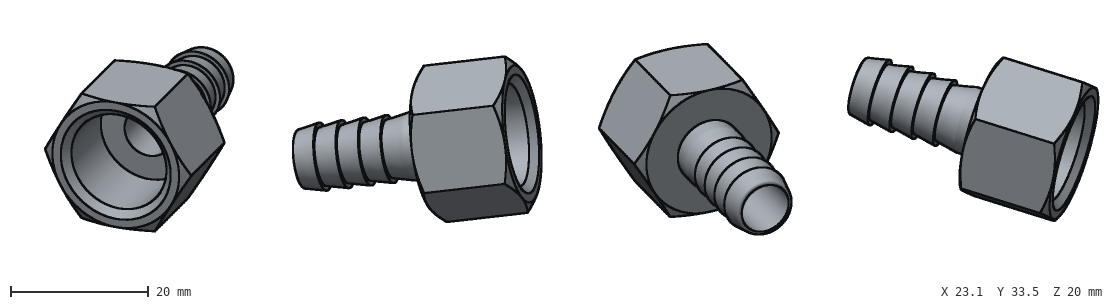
import cadquery as cq
import math

total_length = 33.5
across_flats = 20.0
nut_length = 14.0
corner_chamfer_angle = 30.0

barb_diameter = 9.98
barb_root_diameter = 8.58
barb_count = 5
barb_pitch = 3.4
tip_fillet = 0.4

bore_diameter = 7.5
socket_diameter = 15.0
socket_mouth_diameter = 17.35
socket_depth = 12.0
mouth_chamfer_depth = 1.17

across_corners = across_flats / math.cos(math.radians(30))
flat_radius = across_flats / 2
corner_radius = across_corners / 2
chamfer_length = (corner_radius - flat_radius) * math.tan(math.radians(corner_chamfer_angle))
front = -total_length / 2
nut_back = front + nut_length
tip = total_length / 2


def revolve_about_y(points):
    """Revolve a closed (radius, y) outline around the Y axis."""
    profile = cq.Workplane("XY").polyline(points).close()
    return profile.revolve(360, (0, 0, 0), (0, 1, 0))


def make_nut():
    """Hexagon with flats facing +Z and -Z and conically trimmed corners."""
    hexagon = (
        cq.Workplane("XZ", origin=(0, nut_back, 0))
        .polygon(6, across_corners)
        .extrude(nut_length)
    )
    corner_trim = revolve_about_y([
        (0, front),
        (flat_radius, front),
        (corner_radius, front + chamfer_length),
        (corner_radius, nut_back - chamfer_length),
        (flat_radius, nut_back),
        (0, nut_back),
    ])
    return hexagon.intersect(corner_trim)


def make_barbed_stem():
    """Plain collar followed by barbs that taper toward the rounded tip."""
    barb_radius = barb_diameter / 2
    root_radius = barb_root_diameter / 2
    outline = [(0, front), (barb_radius, front)]
    for barb in range(barb_count):
        barb_end = tip - (barb_count - 1 - barb) * barb_pitch
        outline.append((barb_radius, barb_end - barb_pitch))
        outline.append((root_radius, barb_end))
    outline.append((0, tip))
    return revolve_about_y(outline).faces(">Y").edges().fillet(tip_fillet)


def make_passage():
    """Through bore, flat-bottomed socket and conical socket mouth."""
    bore_radius = bore_diameter / 2
    socket_radius = socket_diameter / 2
    socket_floor = front + socket_depth
    return revolve_about_y([
        (0, front),
        (socket_mouth_diameter / 2, front),
        (socket_radius, front + mouth_chamfer_depth),
        (socket_radius, socket_floor),
        (bore_radius, socket_floor),
        (bore_radius, tip),
        (0, tip),
    ])


result = make_nut().union(make_barbed_stem()).cut(make_passage())